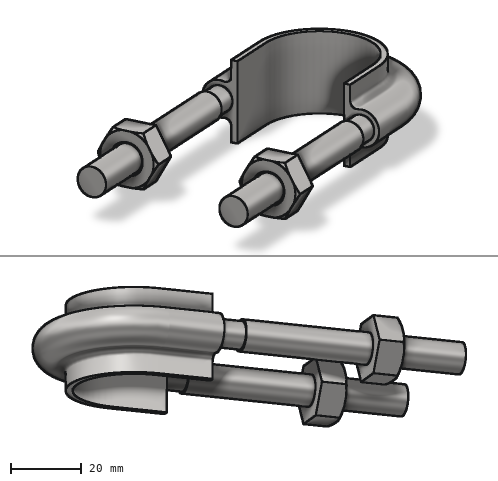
import cadquery as cq
import math

leg_spacing = 45.9
bend_radius = leg_spacing / 2
overall_length = 118.4

shank_diameter = 8.2
thread_diameter = 9.2
thread_start = 23.5

strap_inner_radius = 17.3
strap_thickness = 2.0
strap_outer_radius = strap_inner_radius + strap_thickness
saddle_height = 25.0
saddle_leg = 16.5
cover_radius = 5.7
cover_fillet = 2.0
rod_end = overall_length - bend_radius - cover_radius

nut_across_flats = 17.0
nut_across_corners = nut_across_flats / math.cos(math.radians(30))
nut_thickness = 7.9
nut_start = 61.7
chamfer_circle = 17.3
chamfer_angle = 30
countersink_diameter = 10.2
countersink_angle = 90


def rod_cylinder(x, diameter, start, length):
    """Cylinder pointing to -Y from the given distance below the bend centre."""
    plane = cq.Plane(origin=(x, -start, 0), xDir=(1, 0, 0), normal=(0, -1, 0))
    return cq.Workplane(plane).circle(diameter / 2).extrude(length)


def bend(section):
    """Turn a section on the +X side half way round the Z axis, over the +Y side."""
    return section.revolve(180, (0, 0, 0), (0, 1, 0))


def make_rod():
    rod = bend(cq.Workplane("XZ").moveTo(bend_radius, 0).circle(shank_diameter / 2))
    for x in (-bend_radius, bend_radius):
        shank = rod_cylinder(x, shank_diameter, 0, thread_start)
        thread = rod_cylinder(x, thread_diameter, thread_start, rod_end - thread_start)
        rod = rod.union(shank).union(thread)
    return rod


def saddle_section():
    """Strap and cover section on the +X side, joined by tangent concave fillets."""
    half_height = saddle_height / 2
    fillet_x = strap_outer_radius + cover_fillet
    centre_distance = cover_radius + cover_fillet
    fillet_z = math.sqrt(centre_distance**2 - (bend_radius - fillet_x) ** 2)
    to_tangent = cover_radius / centre_distance
    tangent_x = bend_radius + (fillet_x - bend_radius) * to_tangent
    tangent_z = fillet_z * to_tangent

    start_angle = math.pi
    end_angle = -math.atan2(fillet_z, bend_radius - fillet_x)
    mid_angle = (start_angle + end_angle + 2 * math.pi) / 2
    mid_x = fillet_x + cover_fillet * math.cos(mid_angle)
    mid_z = fillet_z + cover_fillet * math.sin(mid_angle)

    return (
        cq.Workplane("XZ")
        .moveTo(strap_inner_radius, -half_height)
        .lineTo(strap_outer_radius, -half_height)
        .lineTo(strap_outer_radius, -fillet_z)
        .threePointArc((mid_x, -mid_z), (tangent_x, -tangent_z))
        .threePointArc((bend_radius + cover_radius, 0), (tangent_x, tangent_z))
        .threePointArc((mid_x, mid_z), (strap_outer_radius, fillet_z))
        .lineTo(strap_outer_radius, half_height)
        .lineTo(strap_inner_radius, half_height)
        .close()
    )


def make_saddle(rod):
    leg = saddle_section().extrude(saddle_leg)
    saddle = bend(saddle_section()).union(leg).union(leg.mirror("YZ"))
    return saddle.cut(rod)


def make_nut(x):
    """Hexagon nut, chamfered and countersunk on its -Y face only."""
    plane = cq.Plane(origin=(x, -nut_start, 0), xDir=(1, 0, 0), normal=(0, -1, 0))
    blank = cq.Workplane(plane).polygon(6, nut_across_corners).extrude(nut_thickness)

    chamfer_width = (nut_across_corners - chamfer_circle) / 2
    chamfer_depth = chamfer_width * math.tan(math.radians(chamfer_angle))
    envelope = (
        cq.Workplane(plane)
        .circle(nut_across_corners / 2)
        .extrude(nut_thickness)
        .faces("<Y")
        .chamfer(chamfer_depth, chamfer_width)
    )
    return (
        blank.intersect(envelope)
        .faces("<Y")
        .workplane(origin=(x, 0, 0))
        .cskHole(thread_diameter, countersink_diameter, countersink_angle)
    )


rod = make_rod()
saddle = make_saddle(rod)
nuts = [make_nut(x) for x in (-bend_radius, bend_radius)]

result = cq.Compound.makeCompound([body.solids().val() for body in (rod, saddle, *nuts)])